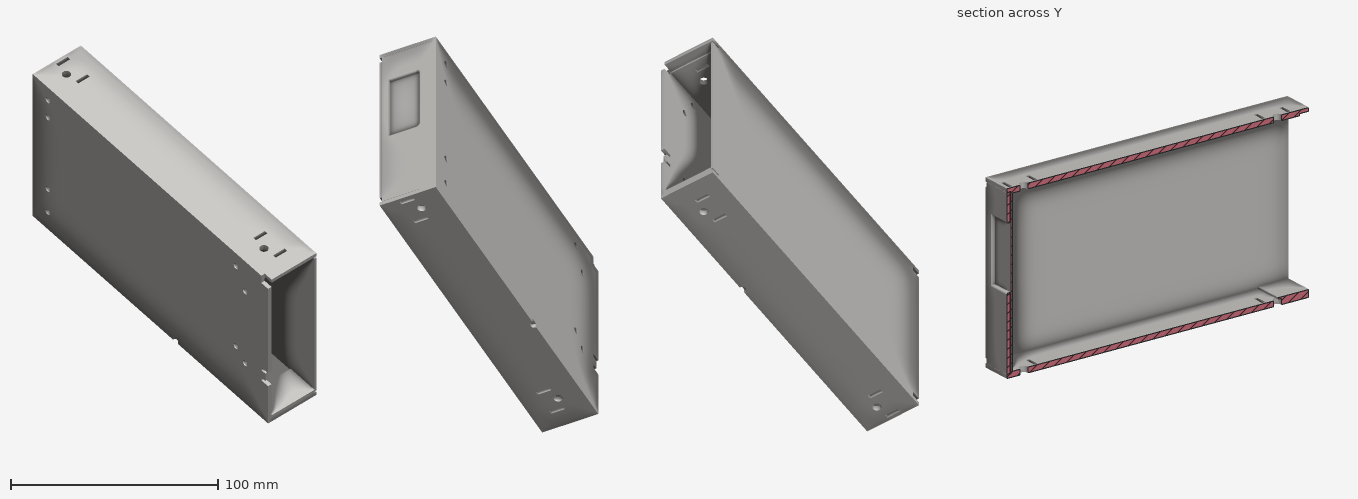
import cadquery as cq

LENGTH = 179.0
DEPTH = 30.0
HEIGHT = 99.0

SHEET = 2.1
COVER = 1.0
LINED_SHEET = SHEET + COVER
END_CLEARANCE = 0.4

SEAM = 0.09

WINDOW_FRONT = 8.2
WINDOW_BACK = 25.2
WINDOW_BOTTOM = 43.5
WINDOW_TOP = 81.8
WINDOW_LIP = 1.0
WINDOW_CORNER = 1.6

PANEL_HOLE_DIAMETER = 3.4
LEFT_HOLE_X = 11.5
INNER_HOLE_X = 154.5
OUTER_HOLE_X = 161.5
TOP_HOLE_Z = 90.0
UPPER_HOLE_Z = 78.0
MIDDLE_HOLE_Z = 34.2
LOWER_HOLE_Z = 28.0
BOTTOM_HOLE_Z = 12.0
PANEL_HOLES = [
    (LEFT_HOLE_X, TOP_HOLE_Z),
    (LEFT_HOLE_X, UPPER_HOLE_Z),
    (LEFT_HOLE_X, LOWER_HOLE_Z),
    (LEFT_HOLE_X, BOTTOM_HOLE_Z),
    (INNER_HOLE_X, TOP_HOLE_Z),
    (INNER_HOLE_X, MIDDLE_HOLE_Z),
    (OUTER_HOLE_X, UPPER_HOLE_Z),
    (OUTER_HOLE_X, LOWER_HOLE_Z),
]

SHEET_HOLE_DIAMETER = 4.5
SHEET_HOLE_Y = 12.5
SHEET_HOLE_XS = (10.4, 160.5)
SLOT_WIDTH = 2.0
SLOT_LENGTH = 7.2
SLOT_Y = 16.6
SLOT_XS = (2.9, 17.7, 152.9, 167.9)

PAD_START_X = 160.7

NOTCH_DEPTH = 5.2
CORNER_NOTCH_HEIGHT = 5.0
TAB_NOTCH_Z = 30.6
TAB_NOTCH_HEIGHT = 9.1
TAB_HEIGHT = 5.0
TAB_LENGTH = 3.0

COVER_NOTCH_LENGTH = 5.4
LEFT_NOTCH_HEIGHT = 2.9
RIGHT_NOTCH_HEIGHT = COVER

EDGE_NOTCH_X = 108.7
EDGE_NOTCH_WIDTH = 3.8
EDGE_NOTCH_DEPTH = 2.0
EDGE_NOTCH_HEIGHT = 2.3
EDGE_NOTCH_CORNER = 1.6


def block(x_range, y_range, z_range):
    """Box spanning the given (low, high) ranges."""
    size = [high - low for low, high in (x_range, y_range, z_range)]
    return cq.Workplane("XY").box(*size, centered=False).translate((x_range[0], y_range[0], z_range[0]))


def shell():
    """Hollow body, open at the right end, with the cover flanges inside and the pad on the floor."""
    y_inside = (SHEET, DEPTH - COVER)
    z_inside = (SHEET, HEIGHT - SHEET)
    z_lined = (LINED_SHEET, HEIGHT - LINED_SHEET)
    flange_start = SHEET + END_CLEARANCE
    flanges_end = LENGTH - COVER_NOTCH_LENGTH
    body = block((0, LENGTH), (0, DEPTH), (0, HEIGHT))
    clearance = block((SHEET, flange_start), y_inside, z_inside)
    lined_cavity = block((flange_start + COVER, flanges_end), y_inside, z_lined)
    open_end = block((flanges_end, LENGTH), y_inside, z_inside)
    pad = block((PAD_START_X, LENGTH), y_inside, (SHEET, 2 * SHEET))
    return body.cut(clearance).cut(lined_cavity).cut(open_end).union(pad)


def panel_holes():
    """Round holes through the front panel."""
    holes = cq.Workplane("XZ").pushPoints(PANEL_HOLES).circle(PANEL_HOLE_DIAMETER / 2)
    return holes.extrude(-SHEET)


def sheet_openings():
    """Holes and slots through the lined top and bottom sheets; the pad keeps the ones it covers blind."""
    hole_points = [(x, SHEET_HOLE_Y) for x in SHEET_HOLE_XS]
    slot_points = [(x, SLOT_Y) for x in SLOT_XS]
    openings = cq.Workplane("XY")
    for base in (0, HEIGHT - LINED_SHEET):
        sheet = cq.Workplane("XY").workplane(offset=base)
        holes = sheet.pushPoints(hole_points).circle(SHEET_HOLE_DIAMETER / 2).extrude(LINED_SHEET)
        slots = sheet.pushPoints(slot_points).rect(SLOT_WIDTH, SLOT_LENGTH).extrude(LINED_SHEET)
        openings = openings.add(holes).add(slots)
    return openings.combine()


def window():
    """Window through the left end wall, ending on the cover flange, with three rounded lips."""
    margin = 2 * WINDOW_LIP
    opening = block(
        (0, SHEET),
        (WINDOW_FRONT + WINDOW_LIP, WINDOW_BACK),
        (WINDOW_BOTTOM + WINDOW_LIP, WINDOW_TOP - WINDOW_LIP),
    ).edges("|X and <Y").fillet(WINDOW_CORNER)
    surround = block(
        (0, SHEET),
        (WINDOW_FRONT - margin, WINDOW_BACK),
        (WINDOW_BOTTOM - margin, WINDOW_TOP + margin),
    )
    reach = WINDOW_LIP / 2
    rim_box = cq.selectors.BoxSelector(
        (-reach, WINDOW_FRONT, WINDOW_BOTTOM),
        (reach, WINDOW_BACK - reach, WINDOW_TOP),
    )
    lipped = surround.cut(opening).edges(rim_box).fillet(WINDOW_LIP)
    return surround.cut(lipped)


def end_seams():
    """Thin seams that part the left end wall from the top, bottom and back cover."""
    back_edge = DEPTH - COVER
    lower = block((0, SHEET), (SHEET, back_edge), (SHEET, SHEET + SEAM))
    upper = lower.translate((0, 0, HEIGHT - 2 * SHEET - SEAM))
    back = block((0, SHEET), (back_edge - SEAM, back_edge), (SHEET, HEIGHT - SHEET))
    return lower.union(upper).union(back)


def cover_notches():
    """Small notches at the four corners of the back cover."""
    notches = cq.Workplane("XY")
    for x, height in ((0, LEFT_NOTCH_HEIGHT), (LENGTH - COVER_NOTCH_LENGTH, RIGHT_NOTCH_HEIGHT)):
        for z in (SHEET, HEIGHT - SHEET - height):
            x_range = (x, x + COVER_NOTCH_LENGTH)
            notches = notches.add(block(x_range, (DEPTH - COVER, DEPTH), (z, z + height)))
    return notches.combine()


def corner_notch():
    """Notch in the upper right corner of the front panel."""
    return block((LENGTH - NOTCH_DEPTH, LENGTH), (0, SHEET), (HEIGHT - CORNER_NOTCH_HEIGHT, HEIGHT))


def tab_notch():
    """Notch in the right edge of the front panel around a short central tab."""
    start = LENGTH - NOTCH_DEPTH
    half_notch = TAB_NOTCH_HEIGHT / 2
    half_tab = TAB_HEIGHT / 2
    notch = block((start, LENGTH), (0, SHEET), (TAB_NOTCH_Z - half_notch, TAB_NOTCH_Z + half_notch))
    tab = block((start, start + TAB_LENGTH), (0, SHEET), (TAB_NOTCH_Z - half_tab, TAB_NOTCH_Z + half_tab))
    return notch.cut(tab)


def edge_notch():
    """Notch in the bottom front edge with rounded inner corners."""
    half_width = EDGE_NOTCH_WIDTH / 2
    x_range = (EDGE_NOTCH_X - half_width, EDGE_NOTCH_X + half_width)
    notch = block(x_range, (0, EDGE_NOTCH_DEPTH), (0, EDGE_NOTCH_HEIGHT))
    return notch.edges("|Z and >Y").fillet(EDGE_NOTCH_CORNER)


result = shell()
for cutter in (
    panel_holes(),
    sheet_openings(),
    window(),
    end_seams(),
    cover_notches(),
    corner_notch(),
    tab_notch(),
    edge_notch(),
):
    result = result.cut(cutter)